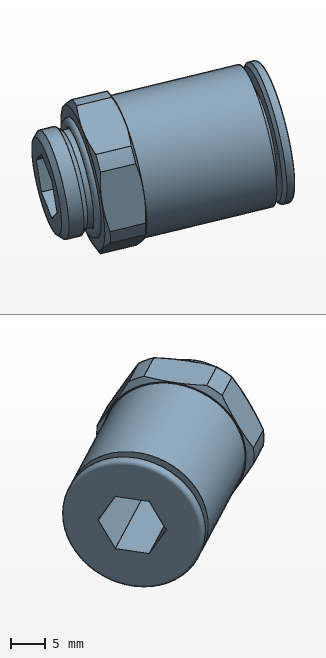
import cadquery as cq
import math

total_length = 35.0
nut_start = 5.55
nut_end = 12.05
body_end = 32.1
ring_start = 33.08

thread_radius = 8.3
thread_chamfer = 0.88
thread_end = 3.2
neck_radius = 7.5
neck_taper = thread_radius - neck_radius

seal_radius = 9.17
seal_rounding = (seal_radius - neck_radius) / 2
body_radius = 10.78

nut_across_flats = 22.0
nut_corner_diameter = 24.0
nut_chamfer_length = 0.52
nut_face_radius = 10.95

ring_neck_radius = 7.6
ring_chamfer = 0.55
ring_rounding = 0.6

socket_across_flats = 9.0


def hex_prism(across_flats, start, end):
    """Hexagonal prism along +Y with corners on the X axis."""
    across_corners = across_flats / math.cos(math.pi / 6)
    plane = cq.Plane(origin=(0, start, 0), xDir=(1, 0, 0), normal=(0, 1, 0))
    return cq.Workplane(plane).polygon(6, across_corners).extrude(end - start)


def revolve_about_y(profile):
    """Full turn of a closed profile drawn as (radius, station)."""
    return profile.close().revolve(360, (0, 0, 0), (0, 1, 0))


def make_turned_core():
    """Spigot, sealing ring, sleeve and release ring as one turned shape."""
    arc_offset = ring_rounding * math.sqrt(0.5)
    ring_arc_radius = body_radius - ring_rounding
    ring_arc_station = total_length - ring_rounding
    profile = (
        cq.Workplane("XY")
        .lineTo(thread_radius - thread_chamfer, 0)
        .lineTo(thread_radius, thread_chamfer)
        .lineTo(thread_radius, thread_end)
        .lineTo(neck_radius, thread_end + neck_taper)
        .lineTo(neck_radius, nut_start)
        .threePointArc(
            (seal_radius - seal_rounding, nut_start - seal_rounding),
            (seal_radius, nut_start),
        )
        .lineTo(body_radius, nut_start)
        .lineTo(body_radius, body_end)
        .lineTo(ring_neck_radius, body_end)
        .lineTo(ring_neck_radius, ring_start)
        .lineTo(body_radius - ring_chamfer, ring_start)
        .lineTo(body_radius, ring_start + ring_chamfer)
        .lineTo(body_radius, ring_arc_station)
        .threePointArc(
            (ring_arc_radius + arc_offset, ring_arc_station + arc_offset),
            (ring_arc_radius, total_length),
        )
        .lineTo(0, total_length)
    )
    return revolve_about_y(profile)


def make_nut():
    """Hexagon trimmed by a cylinder that is chamfered at both ends."""
    corner_radius = nut_corner_diameter / 2
    envelope = revolve_about_y(
        cq.Workplane("XY")
        .moveTo(0, nut_start)
        .lineTo(nut_face_radius, nut_start)
        .lineTo(corner_radius, nut_start + nut_chamfer_length)
        .lineTo(corner_radius, nut_end - nut_chamfer_length)
        .lineTo(nut_face_radius, nut_end)
        .lineTo(0, nut_end)
    )
    return hex_prism(nut_across_flats, nut_start, nut_end).intersect(envelope)


socket = hex_prism(socket_across_flats, 0, total_length)
result = make_turned_core().union(make_nut()).cut(socket)